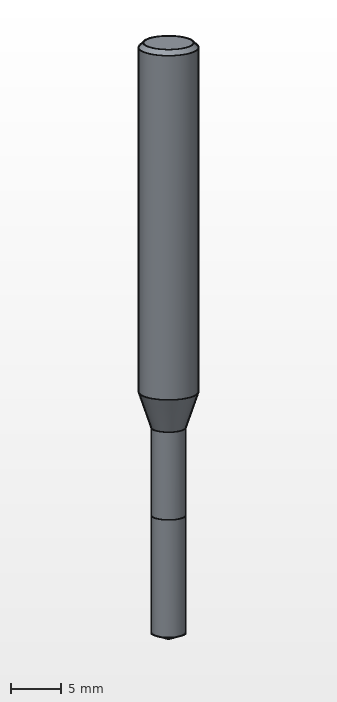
import cadquery as cq

TOTAL_LENGTH = 62.0
SHANK_DIAMETER = 6.0
SHANK_RADIUS = SHANK_DIAMETER / 2
SHANK_CHAMFER = 0.5
NECK_RADIUS = 1.75

POINT_HEIGHT = 0.7
CUTTER_TOP = 12.9
NECK_TOP = 22.0
TAPER_TOP = 25.7


def revolve_profile(points):
    """Turn a closed (radius, height) outline around the Z axis."""
    return cq.Workplane("XZ").polyline(points).close().revolve(360, (0, 0), (0, 1))


def make_cutter():
    """Cylindrical cutting end with a shallow conical point."""
    return revolve_profile([
        (0, 0),
        (NECK_RADIUS, POINT_HEIGHT),
        (NECK_RADIUS, CUTTER_TOP),
        (0, CUTTER_TOP),
    ])


def make_shank():
    """Neck, taper and chamfered shank, standing on the flat top of the cutter."""
    return revolve_profile([
        (0, CUTTER_TOP),
        (NECK_RADIUS, CUTTER_TOP),
        (NECK_RADIUS, NECK_TOP),
        (SHANK_RADIUS, TAPER_TOP),
        (SHANK_RADIUS, TOTAL_LENGTH - SHANK_CHAMFER),
        (SHANK_RADIUS - SHANK_CHAMFER, TOTAL_LENGTH),
        (0, TOTAL_LENGTH),
    ])


cutter = make_cutter()
shank = make_shank()

result = cq.Compound.makeCompound([cutter.val(), shank.val()])